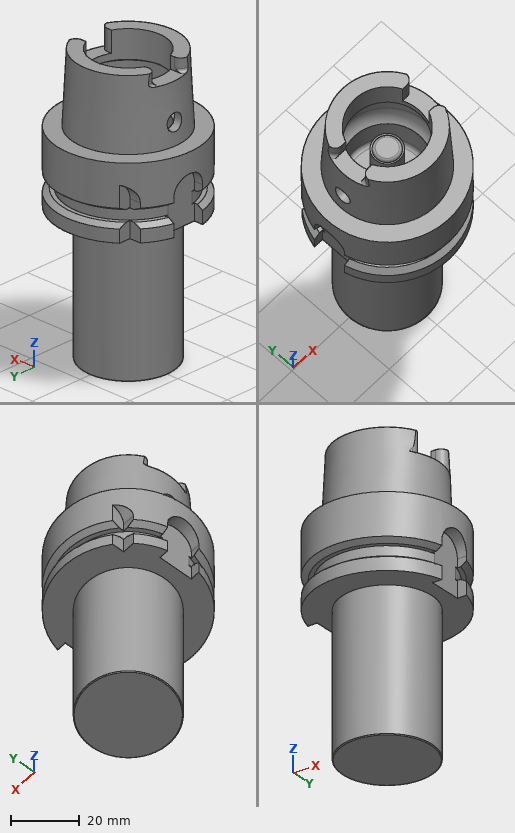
import cadquery as cq
import math


TAPER_LENGTH = 24.9
TAPER_BASE_DIA = 38.5
TAPER_RATIO = 0.1
TAPER_TOP_DIA = TAPER_BASE_DIA - TAPER_RATIO * TAPER_LENGTH

FLANGE_DIA = 49.94
FLANGE_LENGTH = 25.9
GROOVE_DIA = 43.0
GROOVE_LIP_DIA = 45.9
GROOVE_CENTER_Z = -18.0
GROOVE_MOUTH_WIDTH = 6.7
GROOVE_FLOOR_WIDTH = 4.1

SHANK_DIA = 32.0
SHANK_END_Z = -75.0
SHANK_CHAMFER = 0.3

BORE_DIA = 26.04
UNDERCUT_DIA = 32.08
UNDERCUT_TOP_Z = 15.0
UNDERCUT_BOTTOM_Z = 5.3
UNDERCUT_TOP_ANGLE = 30
UNDERCUT_BOTTOM_RADIUS = 5.0
LOWER_BORE_DIA = 26.4
CAVITY_FLOOR_Z = -10.0
CAVITY_FLOOR_FILLET = 1.4

POST_BASE_DIA = 10.0
POST_TOP_DIA = 8.8
POST_TOP_Z = 11.5
POST_STEP_Z = 10.8
POST_FILLET = 0.9

DRIVE_SLOT_WIDTH = 10.54
SHALLOW_SLOT_DEPTH = 4.5
DEEP_SLOT_DEPTH = 7.5
HORN_FACE_X = 16.2
HORN_RADIUS = 2.6
HORN_TILT = 27
SHALLOW_RELIEF_FILLET = 1.1

RADIAL_HOLE_DIA = 6.0
RADIAL_HOLE_Z = 7.5

FLANGE_SLOT_WIDTH = 12.0
FLANGE_SLOT_FLOOR_X = 20.9
NOTCH_X = 15.5
NOTCH_Y = 15.3
CUTTER_RADIUS = FLANGE_SLOT_WIDTH / 2
CUTTER_CENTER_Z = -13.0

CLEARANCE = 5.0
OUTSIDE = FLANGE_DIA / 2 + CLEARANCE


def turned_body():
    half_mouth = GROOVE_MOUTH_WIDTH / 2
    half_floor = GROOVE_FLOOR_WIDTH / 2
    profile = [
        (0, TAPER_LENGTH),
        (TAPER_TOP_DIA / 2, TAPER_LENGTH),
        (TAPER_BASE_DIA / 2, 0),
        (FLANGE_DIA / 2, 0),
        (FLANGE_DIA / 2, GROOVE_CENTER_Z + half_mouth),
        (GROOVE_LIP_DIA / 2, GROOVE_CENTER_Z + half_floor),
        (GROOVE_DIA / 2, GROOVE_CENTER_Z + half_floor),
        (GROOVE_DIA / 2, GROOVE_CENTER_Z - half_floor),
        (GROOVE_LIP_DIA / 2, GROOVE_CENTER_Z - half_floor),
        (FLANGE_DIA / 2, GROOVE_CENTER_Z - half_mouth),
        (FLANGE_DIA / 2, -FLANGE_LENGTH),
        (SHANK_DIA / 2, -FLANGE_LENGTH),
        (SHANK_DIA / 2, SHANK_END_Z + SHANK_CHAMFER),
        (SHANK_DIA / 2 - SHANK_CHAMFER, SHANK_END_Z),
        (0, SHANK_END_Z),
    ]
    return cq.Workplane("XZ").polyline(profile).close().revolve(360, (0, 0), (0, 1))


def cavity():
    bore = BORE_DIA / 2
    undercut = UNDERCUT_DIA / 2
    lower_bore = LOWER_BORE_DIA / 2
    top_drop = (undercut - bore) * math.tan(math.radians(UNDERCUT_TOP_ANGLE))
    neck_center_x = undercut - UNDERCUT_BOTTOM_RADIUS
    neck_angle = math.acos((lower_bore - neck_center_x) / UNDERCUT_BOTTOM_RADIUS)
    neck_arc_mid = (
        neck_center_x + UNDERCUT_BOTTOM_RADIUS * math.cos(neck_angle / 2),
        UNDERCUT_BOTTOM_Z - UNDERCUT_BOTTOM_RADIUS * math.sin(neck_angle / 2),
    )
    neck_arc_end = (lower_bore, UNDERCUT_BOTTOM_Z - UNDERCUT_BOTTOM_RADIUS * math.sin(neck_angle))
    post_top = POST_TOP_DIA / 2
    bend = math.sqrt(0.5)
    floor_arc_mid = (
        lower_bore - CAVITY_FLOOR_FILLET * (1 - bend),
        CAVITY_FLOOR_Z + CAVITY_FLOOR_FILLET * (1 - bend),
    )
    post_arc_mid = (
        post_top - POST_FILLET * (1 - bend),
        POST_TOP_Z - POST_FILLET * (1 - bend),
    )
    return (
        cq.Workplane("XZ")
        .moveTo(0, TAPER_LENGTH)
        .lineTo(bore, TAPER_LENGTH)
        .lineTo(bore, UNDERCUT_TOP_Z)
        .lineTo(undercut, UNDERCUT_TOP_Z - top_drop)
        .lineTo(undercut, UNDERCUT_BOTTOM_Z)
        .threePointArc(neck_arc_mid, neck_arc_end)
        .lineTo(lower_bore, CAVITY_FLOOR_Z + CAVITY_FLOOR_FILLET)
        .threePointArc(floor_arc_mid, (lower_bore - CAVITY_FLOOR_FILLET, CAVITY_FLOOR_Z))
        .lineTo(POST_BASE_DIA / 2, CAVITY_FLOOR_Z)
        .lineTo(POST_BASE_DIA / 2, POST_STEP_Z)
        .lineTo(post_top, POST_TOP_Z - POST_FILLET)
        .threePointArc(post_arc_mid, (post_top - POST_FILLET, POST_TOP_Z))
        .lineTo(0, POST_TOP_Z)
        .close()
        .revolve(360, (0, 0), (0, 1))
    )


def drive_slot(side, depth, relief_fillet=0):
    """Slot on the side = +1 / -1 of X, with the horn ends beside it rounded off.

    Past the rounding, each horn end runs straight to the outside, leaning back by HORN_TILT.
    """
    half = DRIVE_SLOT_WIDTH / 2
    center_x = HORN_FACE_X - HORN_RADIUS
    center_y = half + HORN_RADIUS
    tilt = math.radians(HORN_TILT)
    mid_angle = (tilt - math.pi / 2) / 2
    mid_x = center_x + HORN_RADIUS * math.cos(mid_angle)
    mid_y = center_y + HORN_RADIUS * math.sin(mid_angle)
    end_x = center_x + HORN_RADIUS * math.cos(tilt)
    end_y = center_y + HORN_RADIUS * math.sin(tilt)
    outer_x = end_x - (OUTSIDE - end_y) * math.tan(tilt)

    floor = cq.Workplane("XY").workplane(offset=TAPER_LENGTH - depth)
    relief = (
        floor.moveTo(side * center_x, half)
        .threePointArc((side * mid_x, mid_y), (side * end_x, end_y))
        .lineTo(side * outer_x, OUTSIDE)
        .lineTo(side * OUTSIDE, OUTSIDE)
        .lineTo(side * OUTSIDE, -OUTSIDE)
        .lineTo(side * outer_x, -OUTSIDE)
        .lineTo(side * end_x, -end_y)
        .threePointArc((side * mid_x, -mid_y), (side * center_x, -half))
        .close()
        .extrude(depth)
    )
    if relief_fillet:
        relief = relief.faces("<Z").edges().fillet(relief_fillet)
    slot = floor.center(side * OUTSIDE / 2, 0).rect(OUTSIDE, DRIVE_SLOT_WIDTH).extrude(depth)
    return slot.union(relief)


def radial_hole():
    return (
        cq.Workplane("YZ")
        .center(0, RADIAL_HOLE_Z)
        .circle(RADIAL_HOLE_DIA / 2)
        .extrude(-OUTSIDE)
        .cut(cq.Workplane("XY").circle(BORE_DIA / 2).extrude(TAPER_LENGTH))
    )


def milled_slot(side, floor_x, center_y):
    """Round-topped slot, open downward, milled toward the axis along X."""
    bottom_z = -FLANGE_LENGTH
    return (
        cq.Workplane("YZ")
        .workplane(offset=side * floor_x)
        .moveTo(center_y - CUTTER_RADIUS, bottom_z)
        .lineTo(center_y - CUTTER_RADIUS, CUTTER_CENTER_Z)
        .threePointArc(
            (center_y, CUTTER_CENTER_Z + CUTTER_RADIUS),
            (center_y + CUTTER_RADIUS, CUTTER_CENTER_Z),
        )
        .lineTo(center_y + CUTTER_RADIUS, bottom_z)
        .close()
        .extrude(side * (OUTSIDE - floor_x))
    )


result = turned_body().cut(cavity())
result = result.cut(drive_slot(-1, SHALLOW_SLOT_DEPTH, SHALLOW_RELIEF_FILLET))
result = result.cut(drive_slot(1, DEEP_SLOT_DEPTH))
result = result.cut(radial_hole())
for side in (-1, 1):
    result = result.cut(milled_slot(side, FLANGE_SLOT_FLOOR_X, 0))
result = result.cut(milled_slot(-1, NOTCH_X, NOTCH_Y + CUTTER_RADIUS))